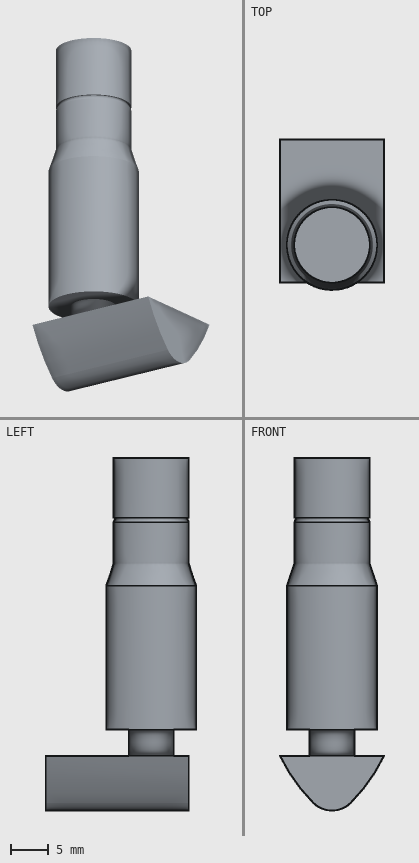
import cadquery as cq
import math

foot_height = 7.25
body_bottom = 10.75
body_top = 29.8
stem_bottom = 32.75
groove_bottom = 38.27
groove_top = 38.85
total_height = 46.8

neck_radius = 3.0
body_radius = 6.0
stem_radius = 5.0
groove_depth = 0.3

foot_width = 13.8
foot_length = 19.0
foot_front = -stem_radius
tip_radius = 3.5
tip_half_angle = math.radians(45)


def make_pin():
    """Revolve the stepped pin with its sloped-floor groove."""
    profile = (
        cq.Workplane("XZ")
        .moveTo(0, foot_height)
        .lineTo(neck_radius, foot_height)
        .lineTo(neck_radius, body_bottom)
        .lineTo(body_radius, body_bottom)
        .lineTo(body_radius, body_top)
        .lineTo(stem_radius, stem_bottom)
        .lineTo(stem_radius, groove_bottom)
        .lineTo(stem_radius - groove_depth, groove_top)
        .lineTo(stem_radius, groove_top)
        .lineTo(stem_radius, total_height)
        .lineTo(0, total_height)
        .close()
    )
    return profile.revolve(360, (0, 0, 0), (0, 1, 0))


def make_foot():
    """Extrude the foot: a round tip blending tangentially into two curved flanks."""
    half_width = foot_width / 2
    tip_x = tip_radius * math.sin(tip_half_angle)
    tip_z = tip_radius * (1 - math.cos(tip_half_angle))

    run = half_width - tip_x
    rise = foot_height - tip_z
    half_turn = math.atan2(rise, run) - tip_half_angle
    flank_radius = math.hypot(run, rise) / (2 * math.sin(half_turn))
    middle_angle = tip_half_angle + half_turn
    middle_x = tip_x + flank_radius * (math.sin(middle_angle) - math.sin(tip_half_angle))
    middle_z = tip_z + flank_radius * (math.cos(tip_half_angle) - math.cos(middle_angle))
    profile = (
        cq.Workplane("XZ", origin=(0, foot_front, 0))
        .moveTo(-half_width, foot_height)
        .threePointArc((-middle_x, middle_z), (-tip_x, tip_z))
        .threePointArc((0, 0), (tip_x, tip_z))
        .threePointArc((middle_x, middle_z), (half_width, foot_height))
        .close()
    )
    return profile.extrude(-foot_length)


result = make_foot().union(make_pin())